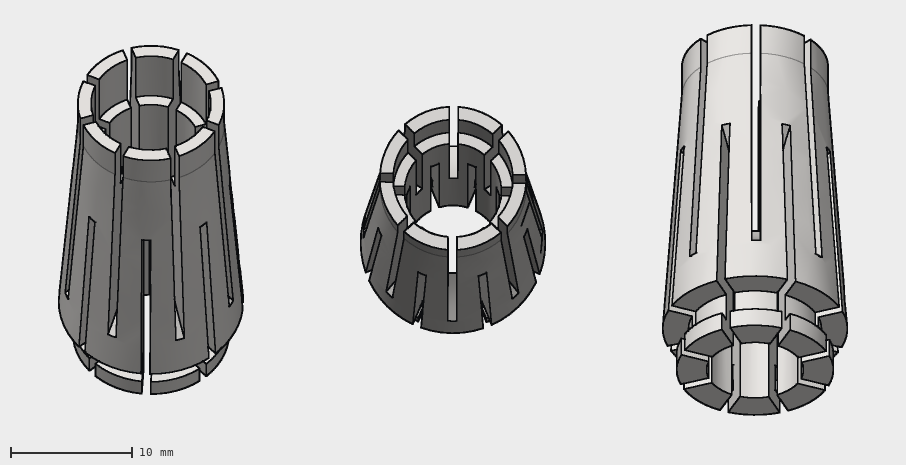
import cadquery as cq

total_height = 30.5
flange_thickness = 1.65
neck_length = 2.5
tip_band_length = 2.8
counterbore_depth = 5.25

flange_radius = 6.47
neck_radius = 5.5
cone_base_radius = 7.62
tip_radius = 6.05
counterbore_radius = 4.95
bore_radius = 4.0

slot_count = 8
slot_width = 0.73
saw_radius = 12.2
saw_offset = 14.03
base_slot_saw_height = 10.9
tip_slot_saw_height = 18.15

slot_pitch = 360.0 / slot_count
cone_base_height = flange_thickness + neck_length
tip_band_height = total_height - tip_band_length
counterbore_floor = total_height - counterbore_depth


def collet_body():
    """Revolved wall: flange, neck, cone and tip band around the stepped bore.

    The turn by a quarter pitch keeps the seam of the round faces between two slots.
    """
    return (
        cq.Workplane("XZ")
        .moveTo(bore_radius, 0)
        .lineTo(flange_radius, 0)
        .lineTo(flange_radius, flange_thickness)
        .lineTo(neck_radius, flange_thickness)
        .lineTo(neck_radius, cone_base_height)
        .lineTo(cone_base_radius, cone_base_height)
        .lineTo(tip_radius, tip_band_height)
        .lineTo(tip_radius, total_height)
        .lineTo(counterbore_radius, total_height)
        .lineTo(counterbore_radius, counterbore_floor)
        .lineTo(bore_radius, counterbore_floor)
        .close()
        .revolve(360, (0, 0, 0), (0, 1, 0))
        .rotate((0, 0, 0), (0, 0, 1), slot_pitch / 4)
    )


def saw_cut(saw_height, open_height, angle):
    """Radial slot swept by the saw disc from saw_height out through open_height."""
    disc = (
        cq.Workplane("XZ")
        .center(saw_offset, saw_height)
        .circle(saw_radius)
        .extrude(slot_width / 2, both=True)
    )
    travel = (
        cq.Workplane("XZ")
        .center(saw_offset, (saw_height + open_height) / 2)
        .rect(2 * saw_radius, abs(open_height - saw_height))
        .extrude(slot_width / 2, both=True)
    )
    return disc.union(travel).rotate((0, 0, 0), (0, 0, 1), angle)


result = collet_body()
for index in range(slot_count):
    base_slot_angle = index * slot_pitch
    tip_slot_angle = base_slot_angle + slot_pitch / 2
    result = result.cut(saw_cut(base_slot_saw_height, 0, base_slot_angle))
    result = result.cut(saw_cut(tip_slot_saw_height, total_height, tip_slot_angle))